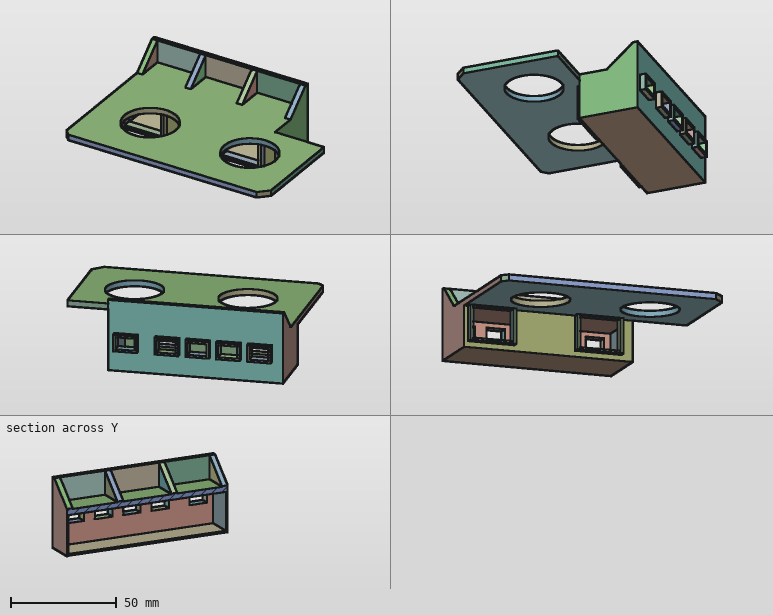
import cadquery as cq

plate_width = 112
plate_thickness = 3.0
shelf_z = 23.1
left_chamfer = 2.9
right_chamfer = 4.9
cup_hole_diameter = 28
cup_hole_y = 29.9
cup_hole_centers_x = (29.9, 85.0)

housing_width = 84.9
housing_front_y = 53.0
total_depth = 85.5
total_height = 35.0
shell_wall = 1.1
back_wall = 2.1

rib_width = 3.0
rib_length = 13.5
inner_rib_inset = 28.2

socket_width = 23.3
socket_length = 3.2
socket_bottom_z = 2.9
socket_side_wall = 1.6
socket_bottom_wall = 1.1
socket_top_wall = 0.3
socket_centers_x = (13.5, 67.4)

tube_width = 11.4
tube_height = 8.2
tube_length = 2.9
tube_wall = 1.1
tube_center_z = 14.7
tube_centers_x = (11.0, 26.1, 41.0, 56, 76.0)

plate_bottom_z = shelf_z - plate_thickness
back_y = total_depth - tube_length
back_wall_front_y = back_y - back_wall


def block(x0, x1, y0, y1, z0, z1):
    """Box between two opposite corners."""
    return cq.Workplane("XY").box(x1 - x0, y1 - y0, z1 - z0, centered=False).translate((x0, y0, z0))


def shelf():
    """L-shaped plate with clipped front corners and two cup holes."""
    outline = [
        (left_chamfer, 0),
        (plate_width - right_chamfer, 0),
        (plate_width, right_chamfer),
        (plate_width, housing_front_y),
        (housing_width, housing_front_y),
        (housing_width, back_y),
        (0, back_y),
        (0, left_chamfer),
    ]
    plate = cq.Workplane("XY").workplane(offset=plate_bottom_z).polyline(outline).close().extrude(plate_thickness)
    centers = [(x, cup_hole_y) for x in cup_hole_centers_x]
    holes = (
        cq.Workplane("XY").workplane(offset=plate_bottom_z)
        .pushPoints(centers).circle(cup_hole_diameter / 2).extrude(plate_thickness)
    )
    return plate.cut(holes)


def housing():
    """Closed box under the shelf, with its back wall rising above the shelf."""
    outer = block(0, housing_width, housing_front_y, back_y, 0, plate_bottom_z)
    cavity = block(
        shell_wall, housing_width - shell_wall,
        housing_front_y + shell_wall, back_wall_front_y,
        shell_wall, plate_bottom_z,
    )
    wall = block(0, housing_width, back_wall_front_y, back_y, 0, total_height)
    return outer.cut(cavity).union(wall)


def rib(center_x):
    """Triangular gusset standing on the shelf against the back wall."""
    profile = [
        (back_wall_front_y, shelf_z),
        (back_wall_front_y - rib_length, shelf_z),
        (back_wall_front_y, total_height),
    ]
    triangle = cq.Workplane("YZ").polyline(profile).close().extrude(rib_width)
    return triangle.translate((center_x - rib_width / 2, 0, 0))


def socket_body(center_x):
    """Outer block of a front socket."""
    left = center_x - socket_width / 2
    return block(
        left, left + socket_width,
        housing_front_y - socket_length, housing_front_y,
        socket_bottom_z, plate_bottom_z,
    )


def socket_opening(center_x):
    """Opening through a front socket into the housing cavity."""
    half_width = socket_width / 2 - socket_side_wall
    return block(
        center_x - half_width, center_x + half_width,
        housing_front_y - socket_length, housing_front_y + shell_wall,
        socket_bottom_z + socket_bottom_wall, plate_bottom_z - socket_top_wall,
    )


def tube_body(center_x):
    """Outer block of a rear tube."""
    return block(
        center_x - tube_width / 2, center_x + tube_width / 2,
        back_y, total_depth,
        tube_center_z - tube_height / 2, tube_center_z + tube_height / 2,
    )


def tube_opening(center_x):
    """Opening through a rear tube and the back wall."""
    half_width = tube_width / 2 - tube_wall
    half_height = tube_height / 2 - tube_wall
    return block(
        center_x - half_width, center_x + half_width,
        back_wall_front_y, total_depth,
        tube_center_z - half_height, tube_center_z + half_height,
    )


result = shelf().union(housing())

rib_centers_x = (
    rib_width / 2,
    inner_rib_inset,
    housing_width - inner_rib_inset,
    housing_width - rib_width / 2,
)
for x in rib_centers_x:
    result = result.union(rib(x))

for x in socket_centers_x:
    result = result.union(socket_body(x)).cut(socket_opening(x))

for x in tube_centers_x:
    result = result.union(tube_body(x)).cut(tube_opening(x))